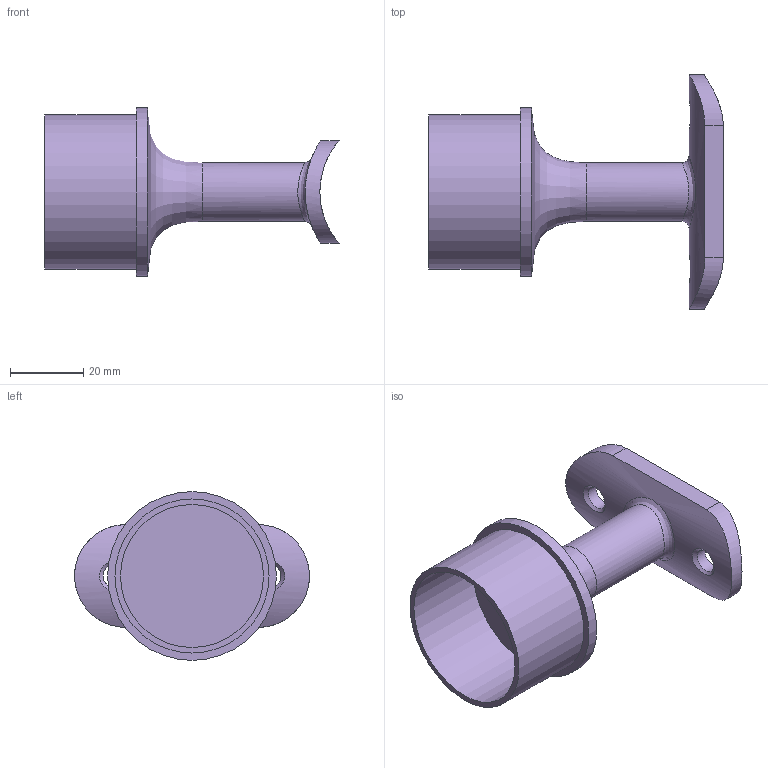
import cadquery as cq


cup_outer_diameter = 42.0
cup_inner_diameter = 39.0
cup_length = 25.0
cup_depth = 23.0

flange_diameter = 46.0
flange_thickness = 3.0

stem_diameter = 16.0
flare_length = 15.0
flare_handle_length = 11.0
weld_fillet_radius = 2.0

post_diameter = 42.4
saddle_thickness = 4.0
saddle_length = 64.0
saddle_height = 28.0
saddle_inner_x = 75.0

screw_hole_diameter = 6.5
screw_hole_spacing = 42.0
countersink_width = 1.0

flange_start_x = cup_length
flange_end_x = flange_start_x + flange_thickness
flange_radius = flange_diameter / 2
stem_radius = stem_diameter / 2
flare_end_x = flange_end_x + flare_length
post_radius = post_diameter / 2
post_axis_x = saddle_inner_x + post_radius
saddle_outer_x = saddle_inner_x - saddle_thickness


def make_cup_and_flange():
    """Round cup, open at the free end, with a solid flange behind its floor."""
    cup = cq.Workplane("YZ").circle(cup_outer_diameter / 2).extrude(cup_length)
    flange = (
        cq.Workplane("YZ", origin=(flange_start_x, 0, 0))
        .circle(flange_radius)
        .extrude(flange_thickness)
    )
    bore = cq.Workplane("YZ").circle(cup_inner_diameter / 2).extrude(cup_depth)
    return cup.union(flange).cut(bore)


def make_stem():
    """Round stem with a concave flare, long enough to enter the saddle."""
    stem_end_x = saddle_inner_x - saddle_thickness / 2
    flare_curve = [
        (flange_end_x, flange_radius),
        (flange_end_x, flange_radius - flare_handle_length),
        (flare_end_x - flare_handle_length, stem_radius),
        (flare_end_x, stem_radius),
    ]
    return (
        cq.Workplane("XY")
        .moveTo(flange_end_x, 0)
        .lineTo(flange_end_x, flange_radius)
        .bezier(flare_curve, includeCurrent=False)
        .lineTo(stem_end_x, stem_radius)
        .lineTo(stem_end_x, 0)
        .close()
        .revolve(360, (0, 0, 0), (1, 0, 0))
    )


def make_saddle():
    """Round-ended plate cut from a tube wall that runs along Y."""
    tube_wall = (
        cq.Workplane("XZ", origin=(post_axis_x, 0, 0))
        .circle(post_radius + saddle_thickness)
        .circle(post_radius)
        .extrude(saddle_length / 2, both=True)
    )
    outline = (
        cq.Workplane("YZ", origin=(saddle_outer_x, 0, 0))
        .slot2D(saddle_length, saddle_height)
        .extrude(post_radius)
    )
    return tube_wall.intersect(outline)


def make_screw_hole_cutter():
    """Screw hole along X with a 45 degree countersink on the stem side."""
    hole_radius = screw_hole_diameter / 2
    countersink_end_x = saddle_outer_x + countersink_width
    return (
        cq.Workplane("XY")
        .moveTo(saddle_outer_x, 0)
        .lineTo(saddle_outer_x, hole_radius + countersink_width)
        .lineTo(countersink_end_x, hole_radius)
        .lineTo(post_axis_x, hole_radius)
        .lineTo(post_axis_x, 0)
        .close()
        .revolve(360, (0, 0, 0), (1, 0, 0))
    )


def add_weld_fillet(body):
    """Round the seam between the stem and the convex face of the saddle."""
    seam_box = cq.selectors.BoxSelector(
        (saddle_outer_x, -stem_radius, -stem_radius),
        (saddle_inner_x, stem_radius, stem_radius),
    )
    return body.edges(seam_box).fillet(weld_fillet_radius)


body = make_cup_and_flange().union(make_stem()).union(make_saddle())
body = add_weld_fillet(body)
for side in (-1, 1):
    body = body.cut(make_screw_hole_cutter().translate((0, side * screw_hole_spacing / 2, 0)))

result = body